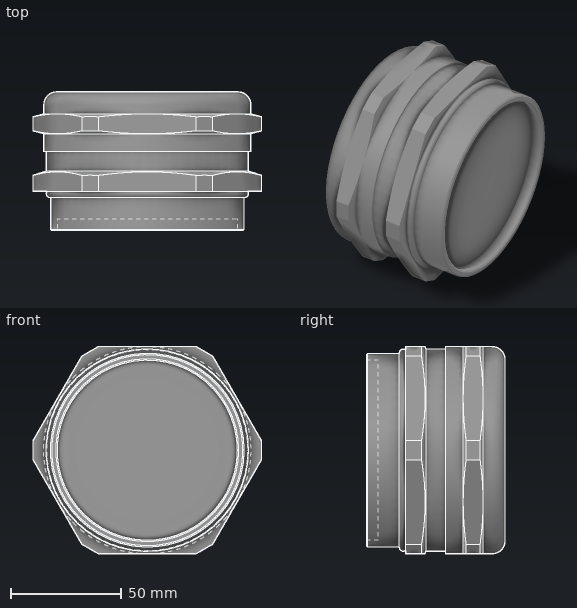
import cadquery as cq
import math


thread_end = 14.9
seal_exposed = 2.9
seal_section_radius = 1.9
nut_start = thread_end + seal_exposed
nut_end = 27.0
cap_start = 35.8
cap_nut_start = 43.9
cap_nut_end = 52.9
total_length = 63.0

across_flats = 94.0
across_corners = 103.5
half_sector = 30.0

body_radius = 45.9
cap_radius = across_flats / 2
dome_radius = 6.0
thread_radius = 43.9
bore_radius = 40.8
bore_depth = 5.4
rim_chamfer = 0.6
rim_chamfer_angle = 45.0

body_nut_bevel_angle = 18.0
cap_nut_bevel_angle = 15.0


def cylinder(radius, start, end):
    """Solid cylinder on the Y axis between two stations."""
    return cq.Workplane("XZ", origin=(0, start, 0)).circle(radius).extrude(start - end)


def hexagon(flat_distance, start, end, turn):
    """Hexagonal prism on the Y axis; turn is its rotation about the axis in degrees."""
    corner_circle = flat_distance / math.cos(math.radians(half_sector))
    prism = cq.Workplane("XZ", origin=(0, start, 0)).polygon(6, corner_circle).extrude(start - end)
    return prism.rotate((0, 0, 0), (0, 1, 0), turn)


def bevel_cone(base_radius, base, direction, angle):
    """Cone that narrows along direction (+1 or -1) to base_radius at the station base."""
    reach = across_corners
    depth = (reach - base_radius) * math.tan(math.radians(angle))
    wide_end = base - direction * depth
    outline = [(0, base), (base_radius, base), (reach, wide_end), (0, wide_end)]
    return cq.Workplane("XY").polyline(outline).close().revolve(360, (0, 0, 0), (0, 1, 0))


def nut(start, end):
    """Hexagon with its six corners cut flat; the widest pair of corners lies along X."""
    return hexagon(across_flats, start, end, 0).intersect(hexagon(across_corners, start, end, half_sector))


spigot = cylinder(thread_radius, 0, nut_start).faces("<Y").chamfer(rim_chamfer)
body = cylinder(body_radius, nut_start, cap_start)
cap = cylinder(cap_radius, cap_start, total_length).faces(">Y").edges().fillet(dome_radius)

seal = (
    cq.Workplane("XY")
    .moveTo(body_radius - seal_section_radius, thread_end + seal_section_radius)
    .circle(seal_section_radius)
    .revolve(360, (0, 0, 0), (0, 1, 0))
)

body_nut = nut(nut_start, nut_end).intersect(
    bevel_cone(body_radius, nut_end, 1, body_nut_bevel_angle)
)

cap_nut = (
    nut(cap_nut_start, cap_nut_end)
    .intersect(bevel_cone(cap_radius, cap_nut_end, 1, cap_nut_bevel_angle))
    .intersect(bevel_cone(cap_radius, cap_nut_start, -1, cap_nut_bevel_angle))
)

recess = cylinder(bore_radius, 0, bore_depth)
mouth = bevel_cone(bore_radius, rim_chamfer, 1, rim_chamfer_angle).intersect(
    cylinder(bore_radius + rim_chamfer, 0, rim_chamfer)
)

result = spigot.union(body).union(cap).union(seal).union(body_nut).union(cap_nut)
result = result.cut(recess).cut(mouth)